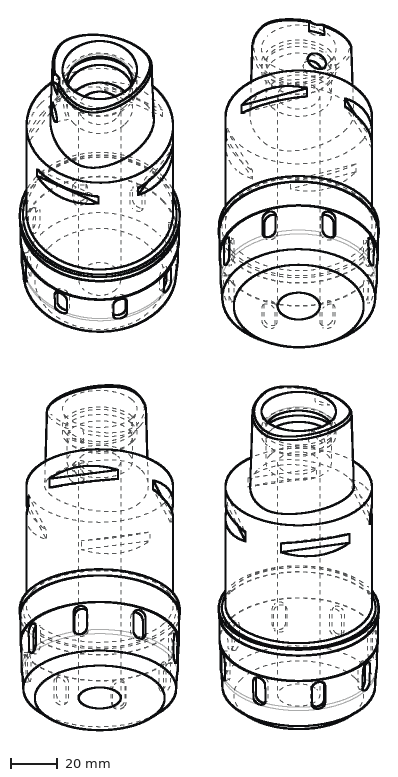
import cadquery as cq
import math

TOTAL_HEIGHT = 143.0
SHANK_BASE_Z = 105.0
BODY_SHOULDER_Z = 45.6
NUT_TOP_Z = 44.0
NUT_RIM_BOTTOM_Z = 41.0
NUT_BAND_BOTTOM_Z = 28.0
NUT_STEP_TOP_Z = 14.6
NUT_STEP_BOTTOM_Z = 12.7
NOSE_Z = 4.6

BODY_RADIUS = 31.5
SHOULDER_RADIUS = 33.0
NUT_RIM_RADIUS = 34.35
NUT_BAND_RADIUS = 34.1
NUT_SLEEVE_TOP_RADIUS = 33.8
NUT_SLEEVE_BOTTOM_RADIUS = 33.6
NUT_LOWER_TOP_RADIUS = 33.3
NUT_LOWER_BOTTOM_RADIUS = 32.85
NOSE_RADIUS = 27.9

SHANK_BASE_RADIUS = 22.25
SHANK_TAPER = 1 / 20
LOBE_RISE = 1.4
OUTLINE_POINTS = 48
SHANK_CHAMFER_HEIGHT = 1.3
SHANK_CHAMFER_WIDTH = 0.8

THROUGH_RADIUS = 9.05
MOUTH_RADIUS = 16.0
MOUTH_DEPTH = 6.4
SOCKET_RADIUS = 14.0
SOCKET_DEPTH = 26.0
RING_GROOVE_RADIUS = 16.0
RING_GROOVE_TOP_DEPTH = 8.2
RING_GROOVE_SLOPE_DEPTH = 11.9
RING_GROOVE_BOTTOM_DEPTH = RING_GROOVE_SLOPE_DEPTH + RING_GROOVE_RADIUS - SOCKET_RADIUS

NOTCH_RADIUS = 4.5
NOTCH_INNER_Y = -18.05
NOTCH_DEPTH = 6.1
SHANK_HOLE_DIAMETER = 8.4
SHANK_HOLE_Z = 120.6
SHANK_HOLE_FLOOR_Y = -15.0

GRIP_COUNT = 4
GRIP_FIRST_ANGLE = 45
GRIP_FLAT_DISTANCE = 27.6
GRIP_CENTER_Z = 93.1
GRIP_FLAT_HEIGHT = 4.4
GRIP_MOUTH_HEIGHT = 7.9

NUT_SLOT_COUNT = 8
NUT_SLOT_FIRST_ANGLE = 0
NUT_SLOT_WIDTH = 6.0
NUT_SLOT_BOTTOM_Z = 13.0
NUT_SLOT_TOP_Z = 26.7
NUT_SLOT_FLOOR = 31.3

CUT_MARGIN = 5.0


def turned_body():
    """Body and clamping nut as one revolved profile."""
    profile = [
        (0, 0),
        (NOSE_RADIUS, 0),
        (NUT_LOWER_BOTTOM_RADIUS, NOSE_Z),
        (NUT_LOWER_TOP_RADIUS, NUT_STEP_BOTTOM_Z),
        (NUT_SLEEVE_BOTTOM_RADIUS, NUT_STEP_TOP_Z),
        (NUT_SLEEVE_TOP_RADIUS, NUT_BAND_BOTTOM_Z),
        (NUT_BAND_RADIUS, NUT_BAND_BOTTOM_Z),
        (NUT_BAND_RADIUS, NUT_RIM_BOTTOM_Z),
        (NUT_RIM_RADIUS, NUT_RIM_BOTTOM_Z),
        (NUT_RIM_RADIUS, NUT_TOP_Z),
        (SHOULDER_RADIUS, NUT_TOP_Z),
        (BODY_RADIUS, BODY_SHOULDER_Z),
        (BODY_RADIUS, SHANK_BASE_Z),
        (0, SHANK_BASE_Z),
    ]
    return cq.Workplane("XZ").polyline(profile).close().revolve(360, (0, 0, 0), (0, 1, 0))


def lobed_wire(mean_radius, z):
    """Three-lobed outline of constant width, with one lobe toward +Y."""

    def point(t):
        angle = 2 * math.pi * t
        reach = mean_radius - LOBE_RISE * math.sin(3 * angle)
        slope = -3 * LOBE_RISE * math.cos(3 * angle)
        x = reach * math.cos(angle) - slope * math.sin(angle)
        y = reach * math.sin(angle) + slope * math.cos(angle)
        return (x, y, z)

    points = [cq.Vector(*point(i / OUTLINE_POINTS)) for i in range(OUTLINE_POINTS)]
    return cq.Wire.assembleEdges([cq.Edge.makeSpline(points, periodic=True)])


def shank():
    """Tapered shank with a chamfered top edge."""
    chamfer_z = TOTAL_HEIGHT - SHANK_CHAMFER_HEIGHT
    chamfer_radius = SHANK_BASE_RADIUS - (chamfer_z - SHANK_BASE_Z) * SHANK_TAPER / 2
    base = lobed_wire(SHANK_BASE_RADIUS, SHANK_BASE_Z)
    chamfer_start = lobed_wire(chamfer_radius, chamfer_z)
    top = lobed_wire(chamfer_radius - SHANK_CHAMFER_WIDTH, TOTAL_HEIGHT)
    taper = cq.Solid.makeLoft([base, chamfer_start], True)
    chamfer = cq.Solid.makeLoft([chamfer_start, top], True)
    return cq.Workplane(taper).union(cq.Workplane(chamfer))


def bore():
    """Through hole, socket with an undercut ring groove, and tapered mouth."""
    socket_z = TOTAL_HEIGHT - SOCKET_DEPTH
    profile = [
        (0, 0),
        (THROUGH_RADIUS, 0),
        (THROUGH_RADIUS, socket_z),
        (SOCKET_RADIUS, socket_z),
        (SOCKET_RADIUS, TOTAL_HEIGHT - RING_GROOVE_BOTTOM_DEPTH),
        (RING_GROOVE_RADIUS, TOTAL_HEIGHT - RING_GROOVE_SLOPE_DEPTH),
        (RING_GROOVE_RADIUS, TOTAL_HEIGHT - RING_GROOVE_TOP_DEPTH),
        (SOCKET_RADIUS, TOTAL_HEIGHT - RING_GROOVE_TOP_DEPTH),
        (SOCKET_RADIUS, TOTAL_HEIGHT - MOUTH_DEPTH),
        (MOUTH_RADIUS, TOTAL_HEIGHT),
        (0, TOTAL_HEIGHT),
    ]
    return cq.Workplane("XZ").polyline(profile).close().revolve(360, (0, 0, 0), (0, 1, 0))


def shank_notch():
    """Round-backed notch open to the top and to -Y."""
    return (
        cq.Workplane("XY", origin=(0, NOTCH_INNER_Y - NOTCH_RADIUS, TOTAL_HEIGHT - NOTCH_DEPTH))
        .circle(NOTCH_RADIUS)
        .extrude(NOTCH_DEPTH)
    )


def shank_hole():
    """Flat-bottomed hole entering from -Y."""
    return (
        cq.Workplane("XZ", origin=(0, SHANK_HOLE_FLOOR_Y, SHANK_HOLE_Z))
        .circle(SHANK_HOLE_DIAMETER / 2)
        .extrude(SHANK_BASE_RADIUS + CUT_MARGIN + SHANK_HOLE_FLOOR_Y)
    )


def grip_groove():
    """Flat-floored groove across +X whose sides flare out to the body surface."""
    profile = [
        (GRIP_FLAT_DISTANCE, GRIP_CENTER_Z - GRIP_FLAT_HEIGHT / 2),
        (BODY_RADIUS, GRIP_CENTER_Z - GRIP_MOUTH_HEIGHT / 2),
        (BODY_RADIUS, GRIP_CENTER_Z + GRIP_MOUTH_HEIGHT / 2),
        (GRIP_FLAT_DISTANCE, GRIP_CENTER_Z + GRIP_FLAT_HEIGHT / 2),
    ]
    return cq.Workplane("XZ").polyline(profile).close().extrude(BODY_RADIUS, both=True)


def nut_slot():
    """Upright obround slot with a flat floor, facing +X."""
    center_z = (NUT_SLOT_BOTTOM_Z + NUT_SLOT_TOP_Z) / 2
    return (
        cq.Workplane("YZ", origin=(NUT_SLOT_FLOOR, 0, center_z))
        .slot2D(NUT_SLOT_TOP_Z - NUT_SLOT_BOTTOM_Z, NUT_SLOT_WIDTH, 90)
        .extrude(CUT_MARGIN)
    )


def around_axis(cutter, count, first_angle):
    """Copies of a cutter spread evenly around Z."""
    pattern = cq.Workplane()
    for i in range(count):
        pattern = pattern.add(cutter.rotate((0, 0, 0), (0, 0, 1), first_angle + i * 360 / count))
    return pattern.combine()


result = turned_body().union(shank())
result = result.cut(bore()).cut(shank_notch()).cut(shank_hole())
result = result.cut(around_axis(grip_groove(), GRIP_COUNT, GRIP_FIRST_ANGLE))
result = result.cut(around_axis(nut_slot(), NUT_SLOT_COUNT, NUT_SLOT_FIRST_ANGLE))